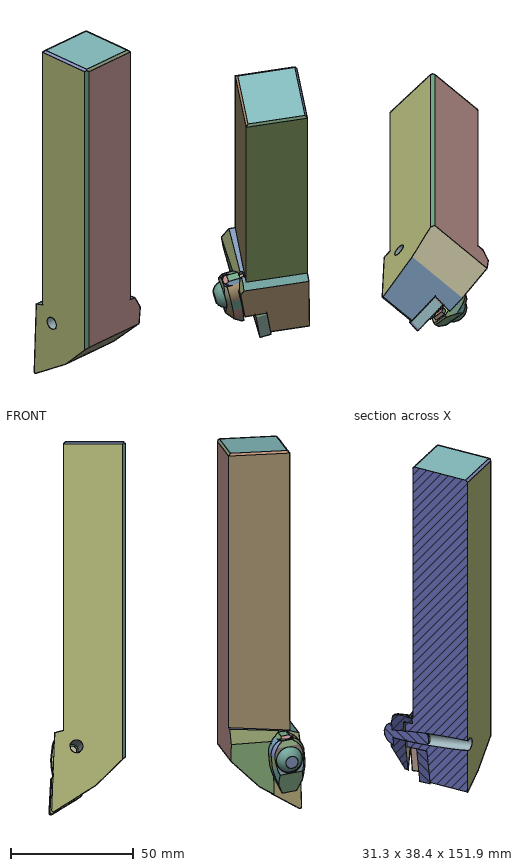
import cadquery as cq
import math

TOTAL_LENGTH = 151.9
SHANK_SIDE = 25.4
END_CHAMFER = 0.9
EDGE_CHAMFER = 1.2
TILT = 0.1

HEAD_LEFT_TOP = -3.5
HEAD_LEFT_BOTTOM = -4.7
HEAD_BOTTOM = 1.2
HEAD_TIP_CHAMFER = 0.6
HEAD_SHOULDER_Z = 34.5
SHOULDER_DROP = 0.9
SHOULDER_RISE = 2.3
HEAD_KNEE = (13.2, 12.0)
HEAD_RIGHT_Z = 23.8

BACK_Y = 28.1
BACK_CREST_Z = 31.1
BEVEL_SLOPE = 0.56

INSERT_SIDE = 15.5
INSERT_ANGLE = 55.0
INSERT_THICKNESS = 4.7
INSERT_RADIUS = 0.8
INSERT_LEAD_ANGLE = 3.0
INSERT_CORNER = (-6.0, 20.5, -0.65)

CLAMP_CENTER_X = 2.6
CLAMP_CENTER_Z = 25.2
CLAMP_TURN = 7.0
CLAMP_HALF_WIDTH = 7.0
FLAT_TOP = 1.7
FLAT_BOTTOM = -3.3
CLAMP_UNDERSIDE = 0.6
CLAMP_SIDE_HEIGHT = 4.5
CLAMP_TOP = 6.4
CLAMP_CREST_TOP = 7.6
CLAMP_BEVEL_ANGLE = 30.0
CLAMP_CREST_HALF = 5.6
TAIL_REACH = 9.4
TAIL_TOP_REACH = 8.7
TAIL_TOP = 5.5
TAIL_END_TOP = 3.3
TAIL_DROP = 1.5
TAIL_ROOT = 8.2
TAIL_ROOT_WIDTH = 6.4
TAIL_END_WIDTH = 3.3
TAIL_CURVE = (6.0, 5.8)
NOSE_CURVE = (6.1, -7.6)
NOSE_ROOT = (4.3, -12.8)
NOSE_END_TOP = 1.5
NOSE_REACH = 16.1
NOSE_WIDTH = 6.1
FOOT_LENGTH = 3.5
FOOT_WIDTH = 4.5
FOOT_DROP = 0.9
PEG_RADIUS = 1.2
PEG_POSITION = 7.6
PEG_DEPTH = 3.3
SCREW_RADIUS = 2.6
SCREW_LENGTH = 10.3
SCREW_TIP_CHAMFER = 0.8
SCREW_HEAD_RADIUS = 5.5
SCREW_HEAD_TOP_RADIUS = 2.6
SCREW_HEAD_TOP = 10.0
SCREW_HEAD_CURVE = (4.4, 8.7)

CUT_MARGIN = 45.5

SEAT_NORMAL = (-TILT, 1.0, -TILT)


def seat_direction(x, z):
    """Direction lying in the tilted seat plane with the given X and Z parts."""
    return (x, TILT * (x + z), z)


def back_face_y(x, z):
    """Y of the tilted back face of the head."""
    return BACK_Y + TILT * (x - HEAD_LEFT_TOP) + TILT * (z - BACK_CREST_Z)


turn = math.radians(CLAMP_TURN)
clamp_plane = cq.Plane(
    origin=(CLAMP_CENTER_X, back_face_y(CLAMP_CENTER_X, CLAMP_CENTER_Z), CLAMP_CENTER_Z),
    xDir=seat_direction(-math.cos(turn), math.sin(turn)),
    normal=SEAT_NORMAL,
)
lead = math.radians(INSERT_LEAD_ANGLE)
insert_plane = cq.Plane(
    origin=INSERT_CORNER,
    xDir=seat_direction(math.sin(lead), math.cos(lead)),
    normal=SEAT_NORMAL,
)


def rhombus(start, side, bottom, height):
    """Rhombic prism on the insert seat; start shifts its near corner by that length along both edges."""
    angle = math.radians(INSERT_ANGLE)
    along = (math.cos(angle), math.sin(angle))
    corners = []
    for first, second in ((0, 0), (1, 0), (1, 1), (0, 1)):
        a = start + first * side
        b = start + second * side
        corners.append((a + b * along[0], b * along[1]))
    return cq.Workplane(insert_plane).workplane(offset=bottom).polyline(corners).close().extrude(height)


def clamp_cylinder(position, radius, bottom, top):
    """Cylinder along the screw direction, position measured towards the tail."""
    base = cq.Workplane(clamp_plane).workplane(offset=bottom)
    return base.center(0, position).circle(radius).extrude(top - bottom)


def make_shank():
    length = TOTAL_LENGTH - HEAD_RIGHT_Z
    shank = cq.Workplane("XY").box(SHANK_SIDE, SHANK_SIDE, length, centered=False)
    return shank.translate((0, 0, HEAD_RIGHT_Z)).faces(">Z").chamfer(END_CHAMFER)


def make_head():
    outline = [
        (HEAD_LEFT_BOTTOM, HEAD_BOTTOM + HEAD_TIP_CHAMFER),
        (HEAD_LEFT_BOTTOM + HEAD_TIP_CHAMFER, HEAD_BOTTOM),
        HEAD_KNEE,
        (SHANK_SIDE, HEAD_RIGHT_Z),
        (SHANK_SIDE, HEAD_SHOULDER_Z + SHOULDER_RISE),
        (0, HEAD_SHOULDER_Z),
        (HEAD_LEFT_TOP, HEAD_SHOULDER_Z - SHOULDER_DROP),
    ]
    block = cq.Workplane("XZ").polyline(outline).close().extrude(-CUT_MARGIN)

    above = CUT_MARGIN - BACK_CREST_Z
    side_profile = [
        (-CUT_MARGIN, 0),
        (BACK_Y - TILT * BACK_CREST_Z, 0),
        (BACK_Y, BACK_CREST_Z),
        (BACK_Y - BEVEL_SLOPE * above, CUT_MARGIN),
        (-CUT_MARGIN, CUT_MARGIN),
    ]
    side_plane = cq.Plane(origin=(HEAD_LEFT_TOP, 0, 0), xDir=(-TILT, 1, 0), normal=(1, TILT, 0))
    limit = cq.Workplane(side_plane).polyline(side_profile).close().extrude(CUT_MARGIN, both=True)
    return block.intersect(limit)


def make_holder():
    body = make_head().union(make_shank())
    corner = (
        cq.Workplane("XY")
        .polyline([(SHANK_SIDE - EDGE_CHAMFER, 0), (SHANK_SIDE, 0), (SHANK_SIDE, EDGE_CHAMFER)])
        .close()
        .extrude(TOTAL_LENGTH)
    )
    pocket = rhombus(-INSERT_SIDE, 2 * INSERT_SIDE, -INSERT_THICKNESS, CUT_MARGIN)
    screw_hole = clamp_cylinder(0, SCREW_RADIUS, -CUT_MARGIN, CUT_MARGIN)
    slot_length = TAIL_REACH - PEG_POSITION + PEG_RADIUS
    peg_slot = (
        cq.Workplane(clamp_plane)
        .workplane(offset=-PEG_DEPTH)
        .center(0, PEG_POSITION + slot_length / 2)
        .rect(2 * PEG_RADIUS, slot_length)
        .extrude(CUT_MARGIN)
    )
    peg_seat = clamp_cylinder(PEG_POSITION, PEG_RADIUS, -PEG_DEPTH, CUT_MARGIN)
    return body.cut(corner).cut(pocket).cut(screw_hole).cut(peg_slot).cut(peg_seat)


def make_insert():
    prism = rhombus(0, INSERT_SIDE, -INSERT_THICKNESS, INSERT_THICKNESS)
    return prism.edges(cq.selectors.ParallelDirSelector(cq.Vector(*SEAT_NORMAL))).fillet(INSERT_RADIUS)


def clamp_plan(offset):
    """Closed outline of the clamp, tail up and nose down, at a height over the back face."""

    def mirrored(point):
        return (-point[0], point[1])

    tail_end = (TAIL_END_WIDTH / 2, TAIL_REACH)
    tail_root = (TAIL_ROOT_WIDTH / 2, TAIL_ROOT)
    flat_top = (CLAMP_HALF_WIDTH, FLAT_TOP)
    flat_bottom = (CLAMP_HALF_WIDTH, FLAT_BOTTOM)
    nose_end = (NOSE_WIDTH / 2, -NOSE_REACH)
    return (
        cq.Workplane(clamp_plane)
        .workplane(offset=offset)
        .moveTo(*tail_end)
        .lineTo(*tail_root)
        .threePointArc(TAIL_CURVE, flat_top)
        .lineTo(*flat_bottom)
        .threePointArc(NOSE_CURVE, NOSE_ROOT)
        .lineTo(*nose_end)
        .lineTo(*mirrored(nose_end))
        .lineTo(*mirrored(NOSE_ROOT))
        .threePointArc(mirrored(NOSE_CURVE), mirrored(flat_bottom))
        .lineTo(*mirrored(flat_top))
        .threePointArc(mirrored(TAIL_CURVE), mirrored(tail_root))
        .lineTo(*mirrored(tail_end))
        .close()
    )


def make_clamp():
    walls = clamp_plan(-TAIL_DROP).extrude(CLAMP_SIDE_HEIGHT + TAIL_DROP)
    flank_height = CLAMP_CREST_TOP - CLAMP_SIDE_HEIGHT
    flanks = clamp_plan(CLAMP_SIDE_HEIGHT).extrude(flank_height, taper=CLAMP_BEVEL_ANGLE)

    profile_plane = cq.Plane(
        origin=clamp_plane.origin, xDir=clamp_plane.yDir, normal=clamp_plane.yDir.cross(clamp_plane.zDir)
    )
    profile = [
        (-NOSE_REACH, CLAMP_UNDERSIDE),
        (BACK_CREST_Z - CLAMP_CENTER_Z, CLAMP_UNDERSIDE),
        (TAIL_REACH, -TAIL_DROP),
        (TAIL_REACH, TAIL_END_TOP),
        (TAIL_TOP_REACH, TAIL_TOP),
        (CLAMP_CREST_HALF, CLAMP_TOP),
        (0, CLAMP_TOP),
        (-CLAMP_CREST_HALF, CLAMP_CREST_TOP),
        (-NOSE_REACH, NOSE_END_TOP),
    ]
    limit = cq.Workplane(profile_plane).polyline(profile).close().extrude(CLAMP_HALF_WIDTH, both=True)
    clamp = walls.union(flanks).intersect(limit)

    arch_radius = TAIL_ROOT_WIDTH / 2
    arch_plane = cq.Plane(
        origin=clamp_plane.toWorldCoords((0, TAIL_ROOT, TAIL_TOP - arch_radius)),
        xDir=clamp_plane.xDir,
        normal=clamp_plane.yDir,
    )
    over_arch = cq.Workplane(arch_plane).rect(2 * CLAMP_HALF_WIDTH, 2 * CLAMP_TOP).circle(arch_radius)
    over_arch = over_arch.extrude(TAIL_REACH)
    under_arch = (
        cq.Workplane(arch_plane)
        .center(0, CLAMP_TOP)
        .rect(2 * CLAMP_HALF_WIDTH, 2 * CLAMP_TOP)
        .extrude(TAIL_REACH)
    )
    clamp = clamp.cut(over_arch.cut(under_arch))

    foot = (
        cq.Workplane(clamp_plane)
        .workplane(offset=-FOOT_DROP)
        .center(0, -NOSE_REACH + FOOT_LENGTH)
        .rect(FOOT_WIDTH, FOOT_LENGTH)
        .extrude(FOOT_DROP + 2 * CLAMP_UNDERSIDE)
    )
    peg = clamp_cylinder(PEG_POSITION, PEG_RADIUS, -PEG_DEPTH, CLAMP_SIDE_HEIGHT / 2)
    clamp = clamp.union(foot).union(peg)
    clamp = clamp.cut(clamp_cylinder(0, SCREW_HEAD_RADIUS, CLAMP_TOP, CUT_MARGIN))
    return clamp.cut(clamp_cylinder(0, SCREW_RADIUS, -PEG_DEPTH, CUT_MARGIN))


def make_screw():
    shank = clamp_cylinder(0, SCREW_RADIUS, -SCREW_LENGTH, CLAMP_TOP)
    shank = shank.faces(cq.selectors.DirectionMinMaxSelector(cq.Vector(*SEAT_NORMAL), False))
    shank = shank.chamfer(SCREW_TIP_CHAMFER)
    axial_plane = cq.Plane(
        origin=clamp_plane.origin, xDir=clamp_plane.xDir, normal=clamp_plane.xDir.cross(clamp_plane.zDir)
    )
    head = (
        cq.Workplane(axial_plane)
        .moveTo(0, CLAMP_TOP)
        .lineTo(SCREW_HEAD_RADIUS, CLAMP_TOP)
        .threePointArc(SCREW_HEAD_CURVE, (SCREW_HEAD_TOP_RADIUS, SCREW_HEAD_TOP))
        .lineTo(0, SCREW_HEAD_TOP)
        .close()
        .revolve(360, (0, 0), (0, 1))
    )
    return head.union(shank)


holder = make_holder()
insert = make_insert()
clamp = make_clamp()
screw = make_screw()

result = cq.Compound.makeCompound([holder.val(), insert.val(), clamp.val(), screw.val()])